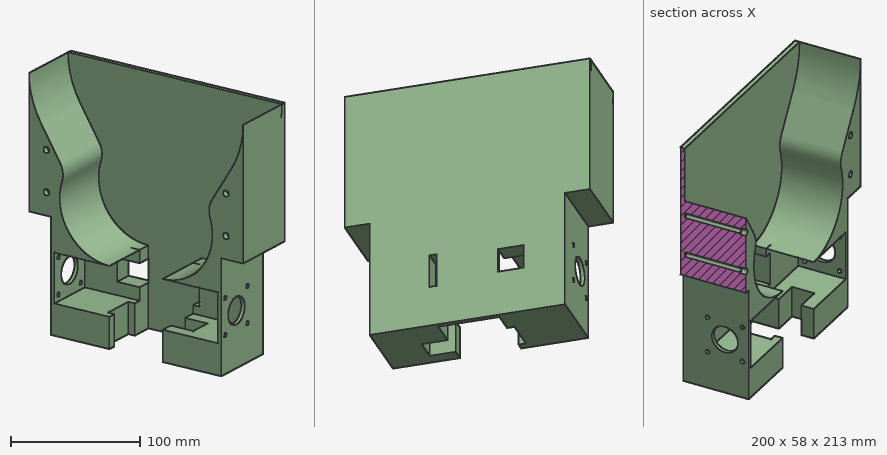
import cadquery as cq
import math

HEIGHT = 213.0
WIDTH = 200.0
DEPTH = 58.0
TOP_HALF_WIDTH = WIDTH / 2
LEG_HALF_WIDTH = 79.7
SHOULDER_Z = 98.0
PLATE_THICKNESS = 4.0

CHANNEL_HALF_WIDTH = 25.0
BOWL_RADIUS = 46.5
FLARE_RADIUS = 74.5
FLARE_ANGLE = math.radians(31.5)
NECK_RADIUS = 17.3

MOTOR_SIZE = 42.2
MOTOR_Z = 48.0
POCKET_HALF_SPAN = 76.3
POCKET_DEPTH = 42.0
BORE_DIAMETER = 23.0
BOLT_SPACING = 30.9
BOLT_DIAMETER = 3.5
CEILING_THICKNESS = 0.05

LONG_NOTCH = (21.0, 19.8)
SHORT_NOTCH = (6.0, 28.0)

SCREW_X = 84.0
SCREW_HEIGHTS = (117.4, 152.5)
SCREW_DIAMETER = 3.6
SCREW_HEAD_DIAMETER = 5.1
SCREW_HEAD_DEPTH = 5.3

POCKET_BACK_Y = POCKET_DEPTH - DEPTH
SHAFT_Y = POCKET_DEPTH / 2 - DEPTH
POCKET_FLOOR_Z = MOTOR_Z - MOTOR_SIZE / 2
POCKET_CEILING_Z = MOTOR_Z + MOTOR_SIZE / 2
BOWL_CENTER_Z = POCKET_CEILING_Z + CEILING_THICKNESS + BOWL_RADIUS


def box(x_range, y_range, z_range):
    """Box spanning the given coordinate ranges."""
    ranges = (x_range, y_range, z_range)
    sizes = [abs(b - a) for a, b in ranges]
    corner = tuple(min(r) for r in ranges)
    return cq.Workplane("XY").box(*sizes, centered=False).translate(corner)


def body():
    """Wide upper body standing on a narrower lower body."""
    upper = box((-TOP_HALF_WIDTH, TOP_HALF_WIDTH), (-DEPTH, 0), (SHOULDER_Z, HEIGHT))
    lower = box((-LEG_HALF_WIDTH, LEG_HALF_WIDTH), (-DEPTH, 0), (0, SHOULDER_Z))
    return upper.union(lower)


def on_arc(center, radius, angle):
    """Point on a circle in the XZ plane."""
    return (center[0] + radius * math.cos(angle), center[1] + radius * math.sin(angle))


def add_arc(outline, center, radius, start, end):
    """Continue an outline along an arc between two angles."""
    middle = on_arc(center, radius, (start + end) / 2)
    return outline.threePointArc(middle, on_arc(center, radius, end))


def opening_half():
    """Right half of the opening, cut from the front to the back plate."""
    bowl = (CHANNEL_HALF_WIDTH, BOWL_CENTER_Z)
    flare = (TOP_HALF_WIDTH - FLARE_RADIUS, HEIGHT)
    flare_end = on_arc(flare, FLARE_RADIUS, -FLARE_ANGLE)

    across = (math.cos(FLARE_ANGLE), -math.sin(FLARE_ANGLE))
    along = (-math.sin(FLARE_ANGLE), -math.cos(FLARE_ANGLE))
    offset = (bowl[0] - flare_end[0], bowl[1] - flare_end[1])
    bowl_along = offset[0] * along[0] + offset[1] * along[1]
    bowl_across = offset[0] * across[0] + offset[1] * across[1]
    center_distance = BOWL_RADIUS + NECK_RADIUS
    neck_along = bowl_along - math.sqrt(center_distance**2 - (NECK_RADIUS - bowl_across) ** 2)
    neck = (
        flare_end[0] + neck_along * along[0] + NECK_RADIUS * across[0],
        flare_end[1] + neck_along * along[1] + NECK_RADIUS * across[1],
    )
    neck_start_angle = math.pi - FLARE_ANGLE
    bowl_start_angle = math.atan2(neck[1] - bowl[1], neck[0] - bowl[0])
    neck_end_angle = bowl_start_angle + math.pi
    bowl_end_angle = -math.pi / 2

    outline = cq.Workplane("XZ", origin=(0, -PLATE_THICKNESS, 0))
    outline = outline.moveTo(0, HEIGHT).lineTo(TOP_HALF_WIDTH, HEIGHT)
    outline = add_arc(outline, flare, FLARE_RADIUS, 0, -FLARE_ANGLE)
    outline = outline.lineTo(*on_arc(neck, NECK_RADIUS, neck_start_angle))
    outline = add_arc(outline, neck, NECK_RADIUS, neck_start_angle, neck_end_angle)
    outline = add_arc(outline, bowl, BOWL_RADIUS, bowl_start_angle, bowl_end_angle)
    outline = outline.lineTo(CHANNEL_HALF_WIDTH, 0).lineTo(0, 0).close()
    return outline.extrude(DEPTH)


def motor_pocket(side):
    """Pocket open to the front and to the channel; side is -1 (left) or 1 (right)."""
    return box(
        (side * CHANNEL_HALF_WIDTH, side * POCKET_HALF_SPAN),
        (-DEPTH, POCKET_BACK_Y),
        (POCKET_FLOOR_Z, POCKET_CEILING_Z),
    )


def back_notch(side, length, width):
    """Notch through the wall behind a pocket."""
    return box(
        (side * CHANNEL_HALF_WIDTH, side * (CHANNEL_HALF_WIDTH + length)),
        (POCKET_BACK_Y, 0),
        (MOTOR_Z - width / 2, MOTOR_Z + width / 2),
    )


def floor_notch(side, length, width):
    """Notch through the floor under a pocket."""
    return box(
        (side * CHANNEL_HALF_WIDTH, side * (CHANNEL_HALF_WIDTH + length)),
        (SHAFT_Y - width / 2, SHAFT_Y + width / 2),
        (0, POCKET_FLOOR_Z),
    )


def motor_holes():
    """Centre bore and four bolt holes through both outer leg walls."""
    plane = cq.Workplane("YZ", origin=(-LEG_HALF_WIDTH, SHAFT_Y, MOTOR_Z))
    bore = plane.circle(BORE_DIAMETER / 2).extrude(2 * LEG_HALF_WIDTH)
    bolts = plane.rect(BOLT_SPACING, BOLT_SPACING, forConstruction=True).vertices()
    return bore.union(bolts.circle(BOLT_DIAMETER / 2).extrude(2 * LEG_HALF_WIDTH))


def screw_holes():
    """Counterbored blind holes that end at the back plate."""
    places = [(side * SCREW_X, z) for side in (-1, 1) for z in SCREW_HEIGHTS]
    front = cq.Workplane("XZ", origin=(0, -DEPTH, 0)).pushPoints(places)
    shanks = front.circle(SCREW_DIAMETER / 2).extrude(PLATE_THICKNESS - DEPTH)
    heads = front.circle(SCREW_HEAD_DIAMETER / 2).extrude(-SCREW_HEAD_DEPTH)
    return shanks.union(heads)


right_opening = opening_half()
result = body().cut(right_opening).cut(right_opening.mirror("YZ"))
for leg_side, back_size, floor_size in ((-1, LONG_NOTCH, SHORT_NOTCH), (1, SHORT_NOTCH, LONG_NOTCH)):
    result = result.cut(motor_pocket(leg_side))
    result = result.cut(back_notch(leg_side, *back_size))
    result = result.cut(floor_notch(leg_side, *floor_size))
result = result.cut(motor_holes()).cut(screw_holes())